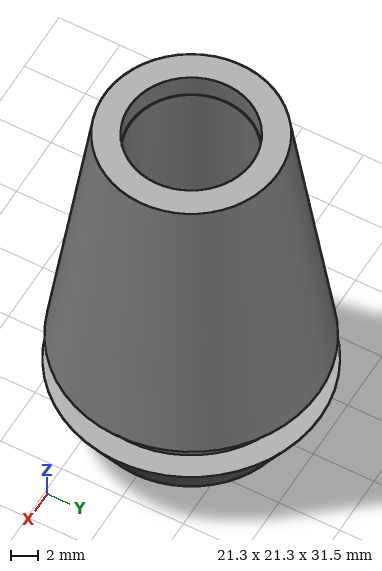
import cadquery as cq
import math

total_length = 31.5
flange_diameter = 21.3

taper_large_diameter = 21.0
taper_half_angle = 8.0

groove_diameter = 17.4
groove_bottom = 4.85
groove_width = 2.8

nose_half_angle = 30.0

bore_diameter = 10.0
relief_diameter = 10.1
relief_depth = 2.0

groove_top = groove_bottom + groove_width
taper_length = total_length - groove_top


def narrowed_radius(diameter, length, half_angle):
    """Radius of a cone after it narrows over the given length."""
    return diameter / 2 - length * math.tan(math.radians(half_angle))


def collet_body():
    """Solid of revolution: nose cone, groove and main taper, from bottom to top."""
    nose_radius = narrowed_radius(flange_diameter, groove_bottom, nose_half_angle)
    top_radius = narrowed_radius(taper_large_diameter, taper_length, taper_half_angle)
    half_profile = [
        (0, 0),
        (nose_radius, 0),
        (flange_diameter / 2, groove_bottom),
        (groove_diameter / 2, groove_bottom),
        (groove_diameter / 2, groove_top),
        (taper_large_diameter / 2, groove_top),
        (top_radius, total_length),
        (0, total_length),
    ]
    return cq.Workplane("YZ").polyline(half_profile).close().revolve(360, (0, 0), (0, 1))


def bore():
    """Through bore with its wider relief at the top."""
    through = cq.Workplane("XY").circle(bore_diameter / 2).extrude(total_length)
    relief = (
        cq.Workplane("XY")
        .workplane(offset=total_length - relief_depth)
        .circle(relief_diameter / 2)
        .extrude(relief_depth)
    )
    return through.union(relief)


result = collet_body().cut(bore())